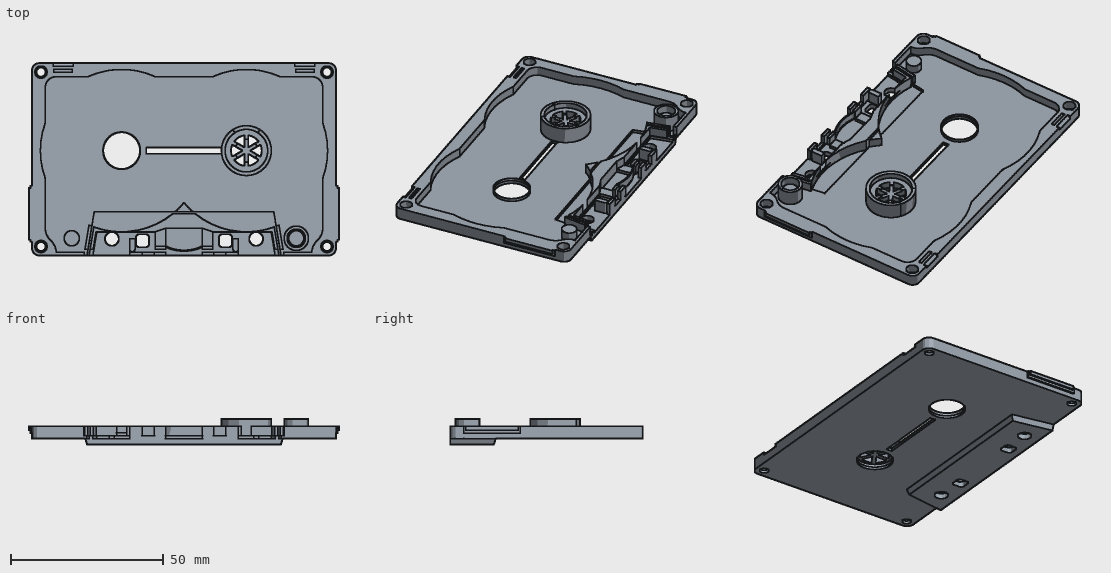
import cadquery as cq
import math

BODY_WIDTH = 100.0
BODY_DEPTH = 63.31
BODY_TOP = 4.1
CORNER_RADIUS = 2.5
FLOOR_TOP = 1.0
BUMP_HEIGHT = 2.0
MOVING_TOP = 6.5

REEL_X = 20.5
REEL_Y = 34.5
REEL_CLEARANCE_RADIUS = 26.7
REEL_HOLE_DIAMETER = 12.0
REEL_LIP_DIAMETER = 12.3
REEL_LIP_TOP = 2.0
WINDOW_LENGTH = 24.8
WINDOW_WIDTH = 2.0

RECESS_HALF_WIDTH = 45.6
RECESS_FRONT = 1.1
RECESS_REAR = 58.8
RECESS_CORNER_RADIUS = 3.6

SCREW_X = 47.0
SCREW_INSET = 3.0
SCREW_DIAMETER = 3.0
SCREW_RECESS_DIAMETER = 4.0
SCREW_RECESS_FLOOR = 1.0

FLANGE_STEPS = [
    (0.5, 4.5, 23.0, 1.8),
    (1.0, 5.2, 22.3, 2.8),
]

LATCH_X = 39.7
LATCH_NOTCH_WIDTH = 6.6
LATCH_NOTCH_DEPTH = 1.1
LATCH_POCKET_WIDTH = 6.1
LATCH_POCKET_REAR = 61.2
LATCH_POCKET_DEPTH = 1.0
LATCH_DROP = 1.0

POCKET_REAR = 14.4
POCKET_REAR_HALF = 29.5
POCKET_FRONT_HALF = 31.9
POCKET_SLOPE = (POCKET_FRONT_HALF - POCKET_REAR_HALF) / POCKET_REAR
BUMP_MARGIN = 0.6
BUMP_TAPER = 18.0
SIDE_WALL = 1.0
SIDE_WALL_FRONT = 2.1

FRAME_GAP = 0.7
FRAME_WALL = 1.0
FRAME_LEDGE = 0.25
FRAME_FRONT = 7.6
NICHE_FRONT = 9.0
NICHE_HALF = 6.0
NICHE_MOUTH_HALF = 9.4

RIM_HALF = 17.9
RIM_NOTCH_OUTER = 13.8
RIM_NOTCH_INNER = 9.7
POST_WIDTH = 1.8
POST_REAR = 5.5
POST_GAP = 0.2
POST_ROUND = 0.8

LOCATING_HOLE_X = 23.7
LOCATING_HOLE_Y = 5.5
LOCATING_HOLE_DIAMETER = 4.5
SQUARE_HOLE_X = 13.65
SQUARE_HOLE_Y = 4.9
SQUARE_HOLE_SIDE = 4.2
SQUARE_HOLE_ROUND = 1.0

ROLLER_X = 36.9
ROLLER_Y = 5.7
ROLLER_DIAMETER = 8.0
ROLLER_BORE = 6.0
PIN_DIAMETER = 5.0

HUB_RADIUS = 8.2
HUB_RIM_RADIUS = 7.0
HUB_WEB_TOP = 4.6
HUB_OPENING_RADIUS = 5.0
SPOKE_COUNT = 3
SPOKE_WIDTH = 1.3
SPOKE_TOP = 4.1
SPOKE_STEP_RADIUS = 3.75
CLIP_HALF_ANGLE = 33.0

SPRING_TAB_FRONT = 2.1
SPRING_TAB_REAR = 3.1
SPRING_LEAF = 0.35
SPRING_CENTRE_FRONT = 1.45

CUT_OVER = 1.0


def slab(z_low, z_high):
    """Workplane at z_low together with the extrusion height up to z_high."""
    return cq.Workplane("XY").workplane(offset=z_low), z_high - z_low


def block(x_low, x_high, y_low, y_high, z_low, z_high):
    size = (x_high - x_low, y_high - y_low, z_high - z_low)
    return cq.Workplane("XY").box(*size, centered=False).translate((x_low, y_low, z_low))


def cylinder(x, y, diameter, z_low, z_high):
    plane, height = slab(z_low, z_high)
    return plane.center(x, y).circle(diameter / 2).extrude(height)


def prism(points, z_low, z_high):
    plane, height = slab(z_low, z_high)
    return plane.polyline(points).close().extrude(height)


def both_sides(shape):
    """The shape together with its mirror image across the YZ plane."""
    return shape.union(shape.mirror("YZ"))


def trapezoid(inset, rear, front):
    """Corner points parallel to the pocket's slanted sides, moved inward by inset."""
    rear_half = POCKET_FRONT_HALF - inset - POCKET_SLOPE * rear
    front_half = POCKET_FRONT_HALF - inset - POCKET_SLOPE * front
    return [(-front_half, front), (-rear_half, rear), (rear_half, rear), (front_half, front)]


def reel_clearance(z_low, z_high):
    return both_sides(cylinder(REEL_X, REEL_Y, 2 * REEL_CLEARANCE_RADIUS, z_low, z_high))


def outer_shell():
    shell = block(-BODY_WIDTH / 2, BODY_WIDTH / 2, 0, BODY_DEPTH, 0, BODY_TOP)
    shell = shell.edges("|Z").fillet(CORNER_RADIUS)
    for projection, front, rear, lower in FLANGE_STEPS:
        half = BODY_WIDTH / 2 + projection
        shell = shell.union(block(-half, half, front, rear, lower, BODY_TOP))
    return shell


def recess():
    """Main cavity: round rear corners, front corners that swing around the screw bosses."""
    half, rear, front = RECESS_HALF_WIDTH, RECESS_REAR, RECESS_FRONT
    radius = RECESS_CORNER_RADIUS
    bend = radius * (1 - math.sqrt(0.5))
    side_end = (half, 9.0)
    boss_mid = (half - 0.8, 6.2)
    swing = (half - 1.8, 5.0)
    swing_mid = (half - 3.1, 3.2)
    front_end = (half - 3.6, front)

    def left(point):
        return (-point[0], point[1])

    plane, height = slab(FLOOR_TOP, BODY_TOP + CUT_OVER)
    cavity = (
        plane.moveTo(*front_end)
        .threePointArc(swing_mid, swing)
        .threePointArc(boss_mid, side_end)
        .lineTo(half, rear - radius)
        .threePointArc((half - bend, rear - bend), (half - radius, rear))
        .lineTo(radius - half, rear)
        .threePointArc((bend - half, rear - bend), (-half, rear - radius))
        .lineTo(*left(side_end))
        .threePointArc(left(boss_mid), left(swing))
        .threePointArc(left(swing_mid), left(front_end))
        .close()
        .extrude(height)
    )
    return cavity.union(reel_clearance(FLOOR_TOP, BODY_TOP + CUT_OVER))


def front_bump():
    """Thick area under the pocket, with drafted rear and side faces and an upright front."""
    outline = trapezoid(-BUMP_MARGIN, POCKET_REAR + BUMP_MARGIN, -2 * BUMP_HEIGHT)
    bump = cq.Workplane("XY").polyline(outline).close().extrude(-BUMP_HEIGHT, taper=BUMP_TAPER)
    reach = BODY_WIDTH / 2
    return bump.intersect(block(-reach, reach, 0, BODY_DEPTH, -BUMP_HEIGHT, 0))


def pocket_walls():
    """Side walls along the pocket and the pointed rib left between the reel clearances."""
    outer = prism(trapezoid(-SIDE_WALL, POCKET_REAR, SIDE_WALL_FRONT), FLOOR_TOP, BODY_TOP)
    walls = outer.cut(prism(trapezoid(0, POCKET_REAR, 0), FLOOR_TOP, BODY_TOP))
    apex = REEL_Y - math.sqrt(REEL_CLEARANCE_RADIUS**2 - REEL_X**2)
    rib_half = 2 * (apex - POCKET_REAR)
    rib = block(-rib_half, rib_half, POCKET_REAR, apex, FLOOR_TOP, BODY_TOP)
    return walls.union(rib).cut(reel_clearance(FLOOR_TOP, BODY_TOP))


def tray(side_inset, front, z_low, z_high):
    """Open space inside the guide frame, with a niche at the middle."""
    half_front = POCKET_FRONT_HALF - side_inset
    half_rear = half_front - POCKET_SLOPE * front
    outline = [
        (-half_front, 0), (-half_rear, front),
        (-NICHE_MOUTH_HALF, front), (-NICHE_HALF, NICHE_FRONT),
        (NICHE_HALF, NICHE_FRONT), (NICHE_MOUTH_HALF, front),
        (half_rear, front), (half_front, 0),
    ]
    return prism(outline, z_low, z_high)


def guide_frame():
    """U-shaped guide wall on a low base that reaches the front edge."""
    rear = POCKET_REAR - FRAME_GAP
    inset = FRAME_GAP + FRAME_WALL
    base = prism(trapezoid(FRAME_GAP, rear, 0), 0, FLOOR_TOP)
    base = base.cut(tray(inset + FRAME_LEDGE, FRAME_FRONT, 0, FLOOR_TOP))
    wall = prism(trapezoid(FRAME_GAP, rear, SIDE_WALL_FRONT), FLOOR_TOP, BODY_TOP)
    wall = wall.cut(tray(inset, FRAME_FRONT + FRAME_LEDGE, FLOOR_TOP, BODY_TOP))
    return base.union(wall).cut(reel_clearance(0, BODY_TOP))


def niche_pads():
    pad = block(NICHE_HALF, NICHE_MOUTH_HALF, SPRING_TAB_REAR, FRAME_FRONT, 0, FLOOR_TOP)
    wedge_points = [
        (NICHE_HALF, FRAME_FRONT),
        (NICHE_HALF, NICHE_FRONT),
        (NICHE_MOUTH_HALF, FRAME_FRONT),
    ]
    return both_sides(pad.union(prism(wedge_points, 0, FLOOR_TOP)))


def front_rim():
    """Two pieces of front rim, each notched at its middle, with a post behind the outer end."""
    rim = block(NICHE_HALF, RIM_HALF, 0, RECESS_FRONT, 0, BODY_TOP)
    rim = rim.cut(block(RIM_NOTCH_INNER, RIM_NOTCH_OUTER, 0, RECESS_FRONT, FLOOR_TOP, BODY_TOP))
    post = block(RIM_HALF - POST_WIDTH, RIM_HALF, RECESS_FRONT + POST_GAP, POST_REAR, 0, BODY_TOP)
    post = post.edges("|Z and <Y").fillet(POST_ROUND)
    return both_sides(rim.union(post))


def tray_holes():
    low = -BUMP_HEIGHT
    round_hole = cylinder(LOCATING_HOLE_X, LOCATING_HOLE_Y, LOCATING_HOLE_DIAMETER, low, BODY_TOP)
    half = SQUARE_HOLE_SIDE / 2
    x_low, x_high = SQUARE_HOLE_X - half, SQUARE_HOLE_X + half
    square = block(x_low, x_high, SQUARE_HOLE_Y - half, SQUARE_HOLE_Y + half, low, BODY_TOP)
    square = square.edges("|Z").fillet(SQUARE_HOLE_ROUND)
    return both_sides(round_hole.union(square))


def screw_holes():
    holes = cq.Workplane("XY")
    for y in (SCREW_INSET, BODY_DEPTH - SCREW_INSET):
        holes = holes.union(cylinder(SCREW_X, y, SCREW_DIAMETER, 0, BODY_TOP))
        holes = holes.union(cylinder(SCREW_X, y, SCREW_RECESS_DIAMETER, SCREW_RECESS_FLOOR, BODY_TOP))
    return both_sides(holes)


def ramp(width, y_deep, y_shallow):
    """Wedge cutter below the joint face, LATCH_DROP deep at y_deep and zero at y_shallow."""
    profile = [(y_deep, BODY_TOP), (y_deep, BODY_TOP - LATCH_DROP), (y_shallow, BODY_TOP)]
    wedge = cq.Workplane("YZ").polyline(profile).close().extrude(width / 2, both=True)
    return wedge.translate((LATCH_X, 0, 0))


def rear_latches():
    notch = ramp(LATCH_NOTCH_WIDTH, BODY_DEPTH, BODY_DEPTH - LATCH_NOTCH_DEPTH)
    pocket = ramp(LATCH_POCKET_WIDTH, LATCH_POCKET_REAR, LATCH_POCKET_REAR - LATCH_POCKET_DEPTH)
    return both_sides(notch.union(pocket))


def reel_openings():
    opening = both_sides(cylinder(REEL_X, REEL_Y, REEL_HOLE_DIAMETER, 0, REEL_LIP_TOP))
    half_length, half_width = WINDOW_LENGTH / 2, WINDOW_WIDTH / 2
    window = block(-half_length, half_length, REEL_Y - half_width, REEL_Y + half_width, 0, FLOOR_TOP)
    return opening.union(window)


def make_housing():
    shell = outer_shell().cut(recess())
    front_gap = prism(trapezoid(-SIDE_WALL, SIDE_WALL_FRONT, 0), FLOOR_TOP, BODY_TOP)
    pocket = prism(trapezoid(0, POCKET_REAR, 0), 0, BODY_TOP)
    shell = shell.cut(front_gap).cut(pocket)
    shell = shell.union(front_bump())
    for feature in (pocket_walls(), guide_frame(), niche_pads(), front_rim()):
        shell = shell.union(feature)
    shell = shell.union(both_sides(cylinder(REEL_X, REEL_Y, REEL_LIP_DIAMETER, 0, REEL_LIP_TOP)))
    shell = shell.union(both_sides(cylinder(ROLLER_X, ROLLER_Y, PIN_DIAMETER, 0, BODY_TOP)))
    for cutter in (tray_holes(), screw_holes(), rear_latches(), reel_openings()):
        shell = shell.cut(cutter)
    return shell


def make_roller():
    roller = cylinder(ROLLER_X, ROLLER_Y, ROLLER_DIAMETER, FLOOR_TOP, MOVING_TOP)
    return roller.cut(cylinder(ROLLER_X, ROLLER_Y, ROLLER_BORE, FLOOR_TOP, MOVING_TOP))


def make_clip():
    """Ring sector that holds the tape leader in the rear of the hub rim."""
    angle = math.radians(CLIP_HALF_ANGLE)

    def at(radius, turn):
        return (REEL_X + radius * math.sin(turn), REEL_Y + radius * math.cos(turn))

    plane, height = slab(FLOOR_TOP, MOVING_TOP)
    return (
        plane.moveTo(*at(HUB_RIM_RADIUS, -angle))
        .lineTo(*at(HUB_RADIUS, -angle))
        .threePointArc(at(HUB_RADIUS, 0), at(HUB_RADIUS, angle))
        .lineTo(*at(HUB_RIM_RADIUS, angle))
        .threePointArc(at(HUB_RIM_RADIUS, 0), at(HUB_RIM_RADIUS, -angle))
        .close()
        .extrude(height)
    )


def hub_spokes():
    bars = cq.Workplane("XY")
    half_width = SPOKE_WIDTH / 2
    reach = HUB_OPENING_RADIUS
    for index in range(SPOKE_COUNT):
        bar = block(-half_width, half_width, -reach, reach, REEL_LIP_TOP, HUB_WEB_TOP)
        turn = 180 / SPOKE_COUNT * index
        bars = bars.union(bar.rotate((0, 0, 0), (0, 0, 1), turn))
    bars = bars.translate((REEL_X, REEL_Y, 0))
    return bars.cut(cylinder(REEL_X, REEL_Y, 2 * SPOKE_STEP_RADIUS, SPOKE_TOP, HUB_WEB_TOP))


def make_hub():
    hub = cylinder(REEL_X, REEL_Y, 2 * HUB_RADIUS, FLOOR_TOP, MOVING_TOP)
    hub = hub.cut(cylinder(REEL_X, REEL_Y, 2 * HUB_RIM_RADIUS, HUB_WEB_TOP, MOVING_TOP))
    hub = hub.cut(cylinder(REEL_X, REEL_Y, 2 * HUB_OPENING_RADIUS, FLOOR_TOP, HUB_WEB_TOP))
    hub = hub.cut(cylinder(REEL_X, REEL_Y, REEL_LIP_DIAMETER, FLOOR_TOP, REEL_LIP_TOP))
    return hub.union(hub_spokes()).cut(make_clip())


def make_spring():
    """Leaf that bows toward the front between two thick end tabs."""
    tab = block(NICHE_HALF, NICHE_MOUTH_HALF, SPRING_TAB_FRONT, SPRING_TAB_REAR, FLOOR_TOP, BODY_TOP)
    plane, height = slab(FLOOR_TOP, BODY_TOP)
    end_rear = SPRING_TAB_REAR
    end_front = end_rear - SPRING_LEAF
    leaf = (
        plane.moveTo(-NICHE_HALF, end_front)
        .threePointArc((0, SPRING_CENTRE_FRONT), (NICHE_HALF, end_front))
        .lineTo(NICHE_HALF, end_rear)
        .threePointArc((0, SPRING_CENTRE_FRONT + SPRING_LEAF), (-NICHE_HALF, end_rear))
        .close()
        .extrude(height)
    )
    return leaf.union(both_sides(tab))


housing = make_housing()
roller = make_roller()
hub = make_hub()
clip = make_clip()
spring = make_spring()

result = cq.Compound.makeCompound([part.val() for part in (housing, roller, hub, clip, spring)])